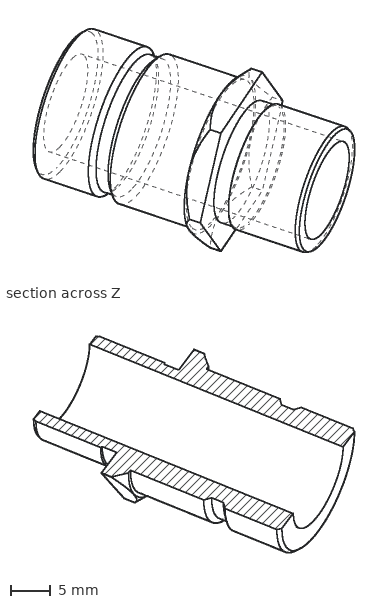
import cadquery as cq
import math

total_length = 36.5
bore_diameter = 13.0

body_diameter = 19.93
body_chamfer = 0.47
groove_start = 7.92
groove_end = 11.0
groove_depth = 0.8
groove_flank_length = 0.7

hex_start = 21.55
hex_end = 24.55
hex_across_flats = 21.0
hex_across_corners = hex_across_flats / math.cos(math.pi / 6)
hex_face_diameter = 20.95
hex_chamfer_length = 1.55

neck_diameter = 16.25
spigot_diameter = 16.7
spigot_start = 26.7
spigot_lead_in_length = 0.1
spigot_end_chamfer_length = 0.47
spigot_end_chamfer_depth = 0.22


def revolve_about_x(profile):
    """Turn a closed (axial, radial) profile about the X axis."""
    return cq.Workplane("XY").polyline(profile).close().revolve(360, (0, 0, 0), (1, 0, 0))


def make_turned_body():
    body_radius = body_diameter / 2
    groove_radius = body_radius - groove_depth
    neck_radius = neck_diameter / 2
    spigot_radius = spigot_diameter / 2
    return revolve_about_x([
        (0, 0),
        (0, body_radius - body_chamfer),
        (body_chamfer, body_radius),
        (groove_start, body_radius),
        (groove_start + groove_flank_length, groove_radius),
        (groove_end - groove_flank_length, groove_radius),
        (groove_end, body_radius),
        (hex_start, body_radius),
        (hex_start, neck_radius),
        (spigot_start - spigot_lead_in_length, neck_radius),
        (spigot_start, spigot_radius),
        (total_length - spigot_end_chamfer_length, spigot_radius),
        (total_length, spigot_radius - spigot_end_chamfer_depth),
        (total_length, 0),
    ])


def make_hex_collar():
    """Hexagon with corners on the Y axis, its corners coned off on the body side."""
    face_radius = hex_face_diameter / 2
    corner_radius = hex_across_corners / 2
    prism = (
        cq.Workplane("YZ", origin=(hex_start, 0, 0))
        .polygon(6, hex_across_corners)
        .extrude(hex_end - hex_start)
    )
    cone_envelope = revolve_about_x([
        (hex_start, 0),
        (hex_start, face_radius),
        (hex_start + hex_chamfer_length, corner_radius),
        (hex_end, corner_radius),
        (hex_end, 0),
    ])
    return prism.intersect(cone_envelope)


def make_bore():
    return cq.Workplane("YZ").circle(bore_diameter / 2).extrude(total_length)


result = make_turned_body().union(make_hex_collar()).cut(make_bore())